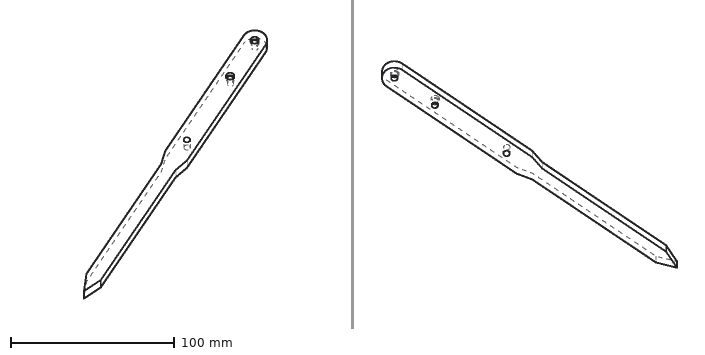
import cadquery as cq

length = 228.5
handle_width = 15.3
blade_width = 10.0
thickness = 7.5

shoulder_start = 109.3
shoulder_end = 119.3
tip_start = 216.0

hole_diameter = 4.0
counterbore_diameter = 5.3
counterbore_depth = thickness / 3
second_hole_distance = 39.3
third_hole_distance = 95.3

end_radius = handle_width / 2
half_blade = blade_width / 2
round_end_y = length / 2


def y_at(distance):
    """Y position at a distance from the round end."""
    return round_end_y - distance


def make_body():
    """Flat stake: round end, straight handle, tapered shoulders, narrow blade and pointed tip."""
    return (
        cq.Workplane("XY")
        .moveTo(-end_radius, y_at(end_radius))
        .threePointArc((0, round_end_y), (end_radius, y_at(end_radius)))
        .lineTo(end_radius, y_at(shoulder_start))
        .lineTo(half_blade, y_at(shoulder_end))
        .lineTo(half_blade, y_at(tip_start))
        .lineTo(0, y_at(length))
        .lineTo(-half_blade, y_at(tip_start))
        .lineTo(-half_blade, y_at(shoulder_end))
        .lineTo(-end_radius, y_at(shoulder_start))
        .close()
        .extrude(thickness)
    )


def add_holes(body):
    """Two counterbored holes, the first concentric with the round end, and one plain through hole."""
    top = cq.Workplane("XY").workplane(offset=thickness)
    counterbored = [(0, y_at(end_radius)), (0, y_at(second_hole_distance))]
    plain = [(0, y_at(third_hole_distance))]
    drills = top.pushPoints(counterbored + plain).circle(hole_diameter / 2).extrude(-thickness)
    counterbores = top.pushPoints(counterbored).circle(counterbore_diameter / 2).extrude(-counterbore_depth)
    return body.cut(drills).cut(counterbores)


result = add_holes(make_body())